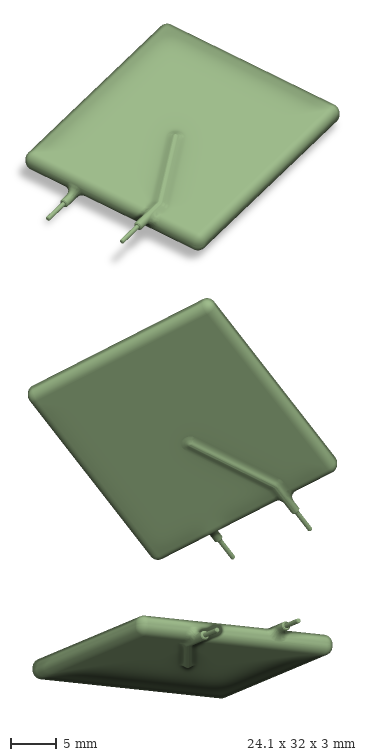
import cadquery as cq
import math

body_width = 24.1
body_length = 27.0
body_thickness = 2.3
body_edge_radius = 1.0
front_edge_y = -body_length / 2

overall_thickness = 3.0
lead_diameter = 1.0
lead_radius = lead_diameter / 2
lead_x = 5.0
lead_z = 1.015
lead_exit_length = 2.0
lead_inner_length = 2.0
lead_bend_radius = 1.0
lead_bend_angle = math.atan(0.5)
lead_slanted_length = 10.7
lead_end_chamfer = 0.12
blend_radius = 1.1

wire_diameter = 0.53
wire_length = 3.0
wire_end_chamfer = 0.08

lead_tip_y = front_edge_y - lead_exit_length
bend_start_y = front_edge_y + lead_inner_length


def bend_point(angle):
    """Point on the lead's bend after turning through the given angle."""
    x = lead_x - lead_bend_radius * (1 - math.cos(angle))
    y = bend_start_y + lead_bend_radius * math.sin(angle)
    return x, y


def turned_to_back(shape):
    """Half turn about the Y axis, from the top face to the bottom face."""
    return shape.rotate((0, 0, 0), (0, 1, 0), 180)


def make_lead():
    """Round lead that leaves the front edge, bends once and ends in a dome."""
    bend_end = bend_point(lead_bend_angle)
    lead_end = (
        bend_end[0] - lead_slanted_length * math.sin(lead_bend_angle),
        bend_end[1] + lead_slanted_length * math.cos(lead_bend_angle),
    )
    path = (
        cq.Workplane("XY", origin=(0, 0, lead_z))
        .moveTo(lead_x, lead_tip_y)
        .lineTo(lead_x, bend_start_y)
        .threePointArc(bend_point(lead_bend_angle / 2), bend_end)
        .lineTo(*lead_end)
    )
    tube = (
        cq.Workplane("XZ", origin=(lead_x, lead_tip_y, lead_z))
        .circle(lead_radius)
        .sweep(path)
        .faces("<Y")
        .edges()
        .chamfer(lead_end_chamfer)
    )
    dome = cq.Workplane("XY").sphere(lead_radius).translate((*lead_end, lead_z))
    return tube.union(dome)


def blend_seam(body, seam_point):
    """Fillet the whole seam between plate and lead; it runs on from the edge nearest the point."""
    return body.edges(cq.selectors.NearestToPointSelector(seam_point)).fillet(blend_radius)


def make_body():
    """Rounded plate with one blended lead on each broad face, trimmed flat to the overall thickness."""
    plate = (
        cq.Workplane("XY")
        .box(body_width, body_length, body_thickness)
        .edges()
        .fillet(body_edge_radius)
    )
    lead = make_lead()
    body = plate.union(lead).union(turned_to_back(lead))
    seam_x = lead_x + lead_radius
    seam_y = (front_edge_y + body_edge_radius + bend_start_y) / 2
    seam_z = body_thickness / 2
    body = blend_seam(body, (seam_x, seam_y, seam_z))
    body = blend_seam(body, (-seam_x, seam_y, -seam_z))
    slab = cq.Workplane("XY").box(2 * body_width, 2 * body_length, overall_thickness)
    return body.intersect(slab)


def make_wire(side):
    """Bare wire butting on the lead end; side is 1 for the top lead, -1 for the bottom lead."""
    return (
        cq.Workplane("XZ", origin=(side * lead_x, lead_tip_y, side * lead_z))
        .circle(wire_diameter / 2)
        .extrude(wire_length)
        .faces("<Y")
        .edges()
        .chamfer(wire_end_chamfer)
    )


body = make_body()
wires = [make_wire(side) for side in (1, -1)]

result = cq.Compound.makeCompound([body.val(), *[wire.val() for wire in wires]])